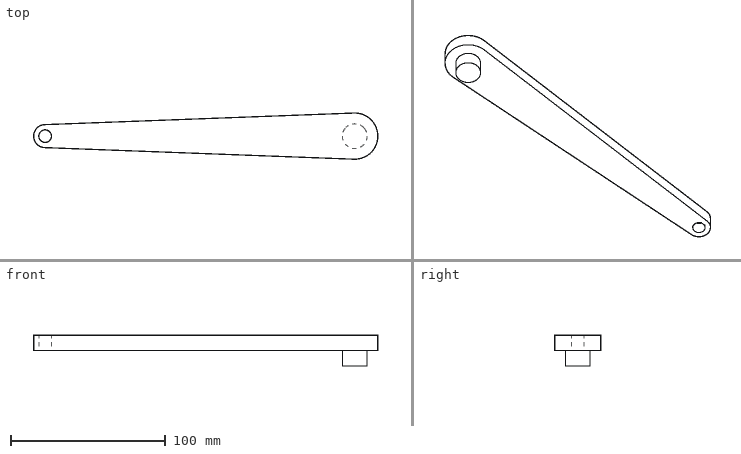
import cadquery as cq
import math

center_distance = 200.0
small_end_radius = 7.5
large_end_radius = 15.0
arm_thickness = 10.0
hole_diameter = 8.0
pin_diameter = 16.0
pin_length = 10.0


def point_on_circle(center_x, radius, angle):
    """Point at the given angle on a circle centred on the X axis."""
    return (center_x + radius * math.cos(angle), radius * math.sin(angle))


def tapered_arm():
    """Flat arm with two round ends joined by their common tangent lines."""
    tangent_angle = math.acos((small_end_radius - large_end_radius) / center_distance)
    small_upper = point_on_circle(0, small_end_radius, tangent_angle)
    small_lower = point_on_circle(0, small_end_radius, -tangent_angle)
    large_upper = point_on_circle(center_distance, large_end_radius, tangent_angle)
    large_lower = point_on_circle(center_distance, large_end_radius, -tangent_angle)
    small_tip = (-small_end_radius, 0)
    large_tip = (center_distance + large_end_radius, 0)
    return (
        cq.Workplane("XY")
        .moveTo(*small_lower)
        .lineTo(*large_lower)
        .threePointArc(large_tip, large_upper)
        .lineTo(*small_upper)
        .threePointArc(small_tip, small_lower)
        .close()
        .extrude(arm_thickness)
    )


def pivot_hole():
    """Cutter for the through hole, concentric with the small end."""
    return cq.Workplane("XY").circle(hole_diameter / 2).extrude(arm_thickness)


def pin():
    """Round pin under the arm, concentric with the large end."""
    return (
        cq.Workplane("XY")
        .center(center_distance, 0)
        .circle(pin_diameter / 2)
        .extrude(-pin_length)
    )


result = tapered_arm().cut(pivot_hole()).union(pin())